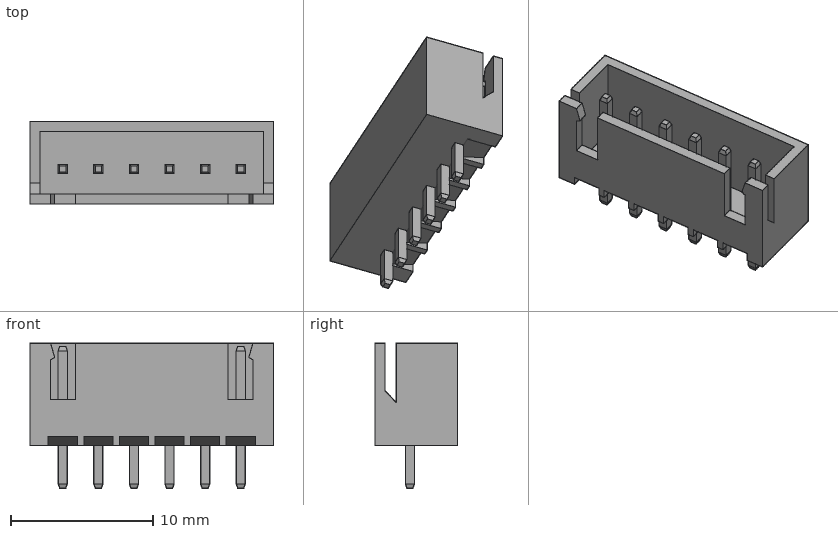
import cadquery as cq
length = 17.17
width = 5.84
height = 7.21
wall = 0.72
floor_top = 0.77
front = -width / 2

pin_count = 6
pitch = 2.5
pin_size = 0.65
tip_size = 0.43
taper = 0.31
pin_below = 3.0
pin_top = height - 0.22
pin_y = front + 2.47
pin_places = [(i - (pin_count - 1) / 2) * pitch for i in range(pin_count)]

window_inner = 5.35
window_outer = 7.13
window_sill = 3.26
bump_reach = 0.3
bump_peak = height - 1.0
bump_bottom = height - 1.18

slot_width = 0.77
slot_back_z = 3.05
slot_front_z = slot_back_z + slot_width + 0.05

notch_length = 2.05
notch_height = 0.64
notch_depth = 2.15


def make_shell():
    """Open-topped box with walls of equal thickness."""
    box = cq.Workplane("XY").box(length, width, height, centered=(True, True, False))
    cavity = (
        cq.Workplane("XY")
        .workplane(offset=floor_top)
        .rect(length - 2 * wall, width - 2 * wall)
        .extrude(height - floor_top)
    )
    return box.cut(cavity)


def make_end_slot():
    """Slot with a sloping bottom, running through both end walls."""
    slot_front = front + wall
    slot_back = slot_front + slot_width
    outline = [
        (slot_front, height),
        (slot_front, slot_front_z),
        (slot_back, slot_back_z),
        (slot_back, height),
    ]
    return cq.Workplane("YZ").polyline(outline).close().extrude(length / 2, both=True)


def make_window():
    """Right-hand window, narrowed near the top by the latch bump."""
    outline = [
        (window_inner, height),
        (window_inner, window_sill),
        (window_outer, window_sill),
        (window_outer, bump_bottom),
        (window_outer - bump_reach, bump_peak),
        (window_outer, height),
    ]
    plane = cq.Workplane("XZ", origin=(0, front + wall, 0))
    return plane.polyline(outline).close().extrude(wall)


def make_notch(x):
    """Triangular bevel cut into the lower front edge."""
    outline = [(front, 0), (front, notch_height), (front + notch_depth, 0)]
    plane = cq.Workplane("YZ", origin=(x - notch_length / 2, 0, 0))
    return plane.polyline(outline).close().extrude(notch_length)


def make_pin(x):
    """Square pin through the floor, tapered at both ends."""
    shaft_bottom = taper - pin_below
    shaft_top = pin_top - taper
    base = cq.Workplane("XY", origin=(x, pin_y, shaft_bottom))
    shaft = base.rect(pin_size, pin_size).extrude(shaft_top - shaft_bottom)
    for end_z, direction in ((shaft_bottom, -1), (shaft_top, 1)):
        tip = (
            cq.Workplane("XY", origin=(x, pin_y, end_z))
            .rect(pin_size, pin_size)
            .workplane(offset=direction * taper)
            .rect(tip_size, tip_size)
            .loft()
        )
        shaft = shaft.union(tip)
    return shaft


window = make_window()
result = make_shell().cut(make_end_slot()).cut(window).cut(window.mirror("YZ"))
for pin_x in pin_places:
    result = result.cut(make_notch(pin_x)).union(make_pin(pin_x))